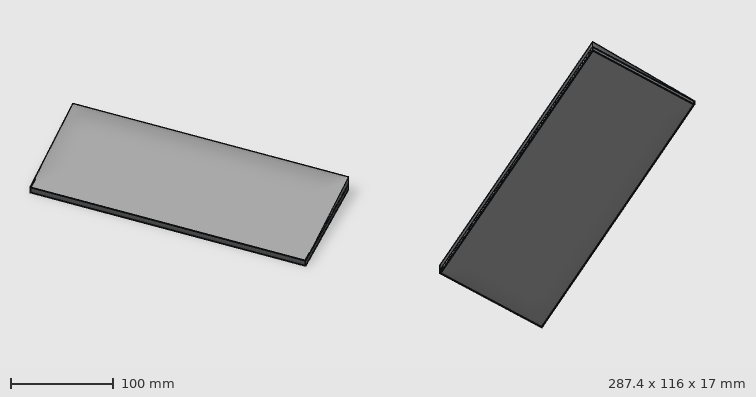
import cadquery as cq
import math

length = 287.38
depth = 115.98
rear_height = 16.99

slope_angle = 5.0
rise = depth * math.tan(math.radians(slope_angle))
base_height = rear_height - rise

rim_wall = 1.0
core_length = length - 2 * rim_wall
core_depth = depth - 2 * rim_wall
core_corner_radius = 1.0


def make_block(block_length, block_depth):
    """Block of base height, centred in X and Y, standing on Z = 0."""
    return cq.Workplane("XY").box(
        block_length, block_depth, base_height, centered=(True, True, False)
    )


def make_rim():
    """Thin rectangular frame with a sharp-cornered opening for the core."""
    return make_block(length, depth).cut(make_block(core_length, core_depth))


def make_core():
    """Slab that fills the rim, with its upright corners rounded."""
    return make_block(core_length, core_depth).edges("|Z").fillet(core_corner_radius)


def make_wedge():
    """Triangular prism on the rim and core: no height in front, full rise at the rear."""
    front = -depth / 2
    rear = depth / 2
    profile = [(front, base_height), (rear, base_height), (rear, rear_height)]
    return (
        cq.Workplane("YZ")
        .polyline(profile)
        .close()
        .extrude(length / 2, both=True)
    )


rim = make_rim()
core = make_core()
wedge = make_wedge()

bodies = [body.solids().val() for body in (rim, core, wedge)]
result = cq.Compound.makeCompound(bodies)